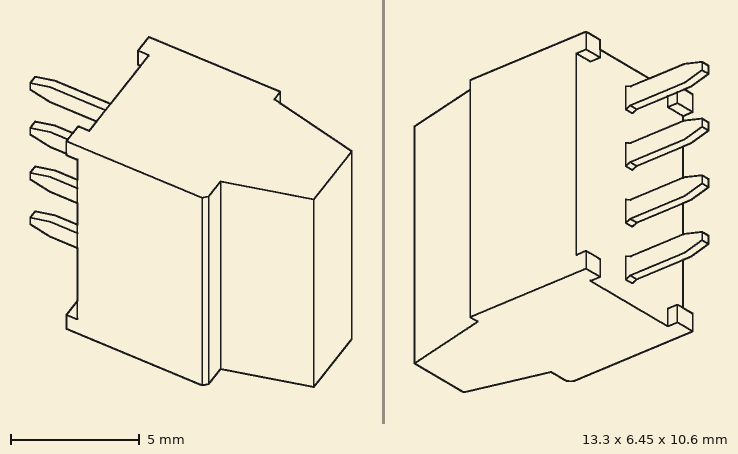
import cadquery as cq


height = 10.62
depth = 6.45
length = 9.9
back_y = 0.0
front_y = back_y - depth

back_ledge_x = 5.9
back_ledge_width = 0.47
front_ledge_x = 6.27
front_ledge_width = 1.12
ledge_chamfer = 0.19
nose_back_y = -1.38
nose_front_y = -4.36

foot_length = 0.49
foot_height = 0.8
back_foot_width = 0.85
front_foot_width = 0.93

pin_count = 4
pin_pitch = 2.54
pin_row_z = 0.01
pin_reach = 3.39
pin_width = 0.85
pin_thickness = 0.4
pin_center_y = -3.18
tip_width = 0.37
tip_length = 0.89
flare_length = 0.23
flare_width = 1.05


def make_housing():
    """Prismatic housing with a tapered nose and four corner feet."""
    block = (
        cq.Workplane("XY")
        .workplane(offset=-height / 2)
        .moveTo(foot_length, back_y)
        .lineTo(back_ledge_x, back_y)
        .lineTo(back_ledge_x, back_y - back_ledge_width)
        .lineTo(length, nose_back_y)
        .lineTo(length, nose_front_y)
        .lineTo(front_ledge_x, front_y + front_ledge_width)
        .lineTo(front_ledge_x, front_y + ledge_chamfer)
        .lineTo(front_ledge_x - ledge_chamfer, front_y)
        .lineTo(foot_length, front_y)
        .close()
        .extrude(height)
    )
    for foot_bottom in (-height / 2, height / 2 - foot_height):
        block = block.union(make_foot(back_y - back_foot_width, back_foot_width, foot_bottom))
        block = block.union(make_foot(front_y, front_foot_width, foot_bottom))
    return block


def make_foot(low_y, width, bottom_z):
    """One rectangular foot between the seating plane and the housing base."""
    corner = (0, low_y, bottom_z)
    return cq.Workplane("XY").box(foot_length, width, foot_height, centered=False).translate(corner)


def make_pin(center_z):
    """Flat pin with a tapered tip, flared where it meets the housing base."""
    tip_x = -pin_reach
    half_profile = [
        (tip_x, tip_width / 2),
        (tip_x + tip_length, pin_width / 2),
        (foot_length - flare_length, pin_width / 2),
        (foot_length, flare_width / 2),
    ]
    mirrored_half = [(x, -z) for x, z in reversed(half_profile)]
    return (
        cq.Workplane("XZ")
        .polyline(half_profile + mirrored_half)
        .close()
        .extrude(pin_thickness / 2, both=True)
        .translate((0, pin_center_y, center_z))
    )


housing = make_housing()

first_pin_z = pin_row_z - (pin_count - 1) * pin_pitch / 2
pins = [make_pin(first_pin_z + i * pin_pitch) for i in range(pin_count)]

result = cq.Compound.makeCompound([housing.val(), *[pin.val() for pin in pins]])